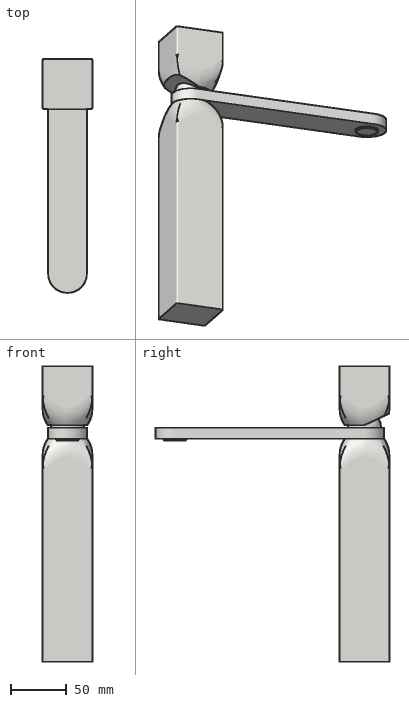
import cadquery as cq
import math

WIDTH = 45.0
HALF = WIDTH / 2
CORNER_RADIUS = 1.5
CAP_HEIGHT = 5.0

DOME_RADIUS = 17.8
RIM_DEPTH_MIDDLE = 15.5
RIM_DEPTH_CORNER = 29.5
SHOULDER_DEPTH = 0.42
PATCH_STEPS = 12
SURFACE_TOLERANCE = 1e-4
SURFACE_DEGREE = 5

TOTAL_HEIGHT = 265.3
COLUMN_HEIGHT = 200.0
HANDLE_HEIGHT = 53.0
HANDLE_BOTTOM = TOTAL_HEIGHT - HANDLE_HEIGHT

SPOUT_WIDTH = 35.0
SPOUT_REACH = 170.0
SPOUT_THICKNESS = 10.0
SPOUT_TOP = COLUMN_HEIGHT + SPOUT_THICKNESS

OUTLET_RADIUS = 10.5
OUTLET_HEIGHT = 1.5
OUTLET_CHAMFER = 1.0

NECK_RADIUS = 15.0
TILT_ANGLE = 25.0


def dome_point(across, drop, top):
    """Point on one eighth of the dome: across 0 (side middle) to 1 (corner), drop 0 (top) to 1 (rim)."""
    angle = across * math.pi / 4
    top_x = DOME_RADIUS * math.cos(angle)
    top_y = DOME_RADIUS * math.sin(angle)
    rim_depth = RIM_DEPTH_MIDDLE + (RIM_DEPTH_CORNER - RIM_DEPTH_MIDDLE) * across**2
    inset = (1 - drop) ** 2
    depth = rim_depth * (2 * SHOULDER_DEPTH * drop * (1 - drop) + drop**2)
    x = HALF + (top_x - HALF) * inset
    y = HALF * across + (top_y - HALF * across) * inset
    return cq.Vector(x, y, top - depth)


def flat_face(edge, *corners):
    """Flat face bounded by one given edge and straight sides through the corners from end to end."""
    sides = [cq.Edge.makeLine(start, end) for start, end in zip(corners, corners[1:])]
    return cq.Face.makeFromWires(cq.Wire.assembleEdges([edge, *sides]))


def pillar_eighth(bottom, top):
    """Dome patch, side wall, top sector and bottom sector over 45 degrees of the pillar."""
    steps = [i / PATCH_STEPS for i in range(PATCH_STEPS + 1)]
    grid = [[dome_point(across, drop, top) for drop in steps] for across in steps]
    dome = cq.Face.makeSplineApprox(grid, tol=SURFACE_TOLERANCE, maxDeg=SURFACE_DEGREE)
    rim = dome.edges(cq.selectors.NearestToPointSelector(dome_point(0.5, 1, top).toTuple()))
    circle = dome.edges(">Z")
    center_top = cq.Vector(0, 0, top)
    center_foot = cq.Vector(0, 0, bottom)
    foot_middle = cq.Vector(HALF, 0, bottom)
    foot_corner = cq.Vector(HALF, HALF, bottom)
    foot = cq.Edge.makeLine(foot_middle, foot_corner)
    wall = flat_face(rim, dome_point(0, 1, top), foot_middle, foot_corner, dome_point(1, 1, top))
    top_sector = flat_face(circle, dome_point(0, 0, top), center_top, dome_point(1, 0, top))
    foot_sector = flat_face(foot, foot_middle, center_foot, foot_corner)
    return [dome, wall, top_sector, foot_sector]


def rounded_block(height):
    """Square block standing on z = 0 with rounded upright edges."""
    return cq.Workplane().rect(WIDTH, WIDTH).extrude(height).edges("|Z").fillet(CORNER_RADIUS)


def pillar(height):
    """Square pillar standing on z = 0, with a plain cap at its foot and a dome at its top."""
    eighth = pillar_eighth(CAP_HEIGHT, height)
    quarter = eighth + [face.mirror("XZ") for face in eighth]
    faces = [face.rotate((0, 0, 0), (0, 0, 1), 90 * turn) for turn in range(4) for face in quarter]
    sharp_shaft = cq.Workplane(cq.Solid.makeSolid(cq.Shell.makeShell(faces)))
    shaft = sharp_shaft.intersect(rounded_block(height), clean=False)
    return shaft.union(rounded_block(CAP_HEIGHT), clean=False)


def make_spout():
    """Flat blade with round ends, with the outlet disc under its far end."""
    blade = (
        cq.Workplane(origin=(0, -SPOUT_REACH / 2, COLUMN_HEIGHT))
        .slot2D(SPOUT_REACH + SPOUT_WIDTH, SPOUT_WIDTH, 90)
        .extrude(SPOUT_THICKNESS)
    )
    outlet = (
        cq.Workplane(origin=(0, -SPOUT_REACH, COLUMN_HEIGHT))
        .circle(OUTLET_RADIUS)
        .extrude(-OUTLET_HEIGHT)
        .faces("<Z")
        .chamfer(OUTLET_CHAMFER)
    )
    return blade.union(outlet)


def make_handle():
    """Pillar turned dome-down, cut away for tilting towards +Y, on a ball neck."""
    body = pillar(HANDLE_HEIGHT).rotate((0, 0, 0), (1, 0, 0), 180).translate((0, 0, TOTAL_HEIGHT))
    clearance = (
        cq.Workplane("YZ", origin=(-WIDTH, 0, HANDLE_BOTTOM))
        .lineTo(WIDTH, WIDTH * math.tan(math.radians(TILT_ANGLE)))
        .lineTo(WIDTH, 0)
        .close()
        .extrude(2 * WIDTH)
    )
    neck = cq.Workplane(origin=(0, 0, SPOUT_TOP)).sphere(NECK_RADIUS, angle1=0)
    return body.cut(clearance, clean=False).union(neck, clean=False)


column = pillar(COLUMN_HEIGHT)
spout = make_spout()
handle = make_handle()
result = cq.Compound.makeCompound([column.solids().val(), spout.solids().val(), handle.solids().val()])